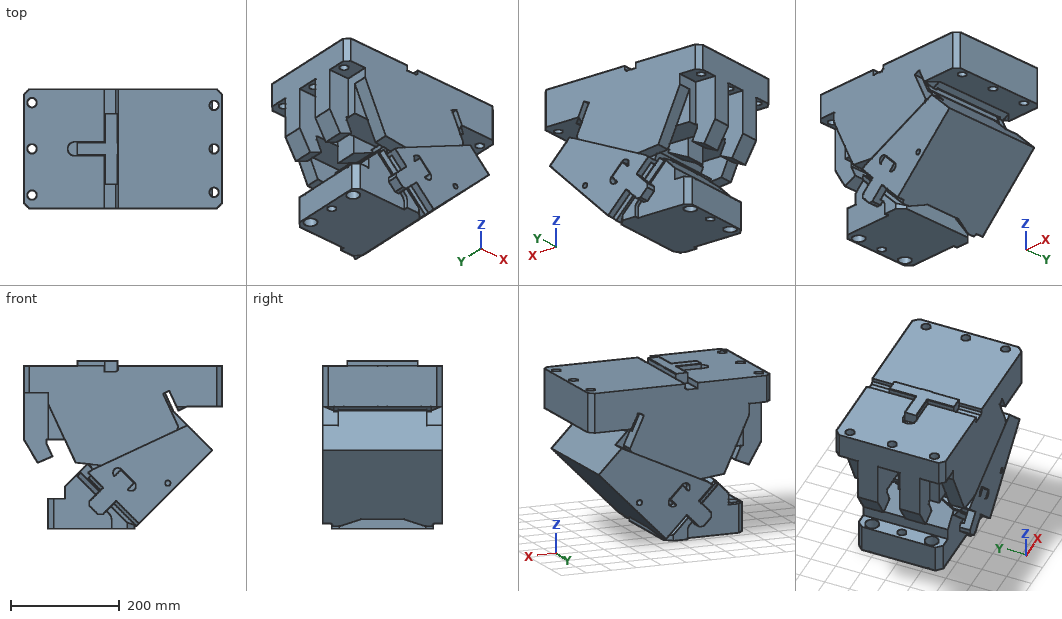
import cadquery as cq
import math

DIAG = math.sqrt(0.5)
UPPER_ANGLE = math.radians(25)
UPPER_X = 126.0
UPPER_Z = 108.8


def base_slide(rise, travel):
    """(x, z) of a point given by its height above and its distance down the 45 degree slide."""
    return (rise + travel) * DIAG, (rise - travel) * DIAG


def upper_slide(along, rise):
    """(x, z) of a point given by its distance up and its height above the 25 degree slide."""
    x = UPPER_X + along * math.cos(UPPER_ANGLE) - rise * math.sin(UPPER_ANGLE)
    z = UPPER_Z + along * math.sin(UPPER_ANGLE) + rise * math.cos(UPPER_ANGLE)
    return x, z


def side_plate(points, y_low, y_high):
    """Extrude an X-Z outline between two Y positions."""
    plane = cq.Workplane("XZ", origin=(0, y_high, 0))
    return plane.polyline(points).close().extrude(y_high - y_low)


def centred_plate(points, half_width):
    return side_plate(points, -half_width, half_width)


def side_pair(points, inner, outer):
    """The same X-Z outline extruded on both sides of the X-Z plane."""
    left = side_plate(points, inner, outer)
    return left.union(side_plate(points, -outer, -inner))


def drill(body, x, y, z_low, z_high, diameter):
    bore = cq.Workplane("XY", origin=(x, y, z_low)).circle(diameter / 2).extrude(z_high - z_low)
    return body.cut(bore)


LENGTH = 365.0
HALF_WIDTH = 110.0

GUIDE_SLOPE = math.tan(math.radians(25))
GUIDE_TOP = 167.5
GUIDE_FLAT = 40.0
RAIL_HALF = 93.5
GUIDE_EDGE = GUIDE_TOP - (RAIL_HALF - GUIDE_FLAT) * GUIDE_SLOPE

TONGUE_HALF = 81.0
STEP_HEIGHT = 17.0
STEP_LENGTH = 29.0
TONGUE_HEIGHT = 35.5


def guide_prism(section, start, length):
    """Extrude a (y, rise) section down the 45 degree slide."""
    x, z = base_slide(0, start)
    plane = cq.Plane(origin=(x, 0, z), xDir=(0, 1, 0), normal=(1, 0, -1))
    return cq.Workplane(plane).polyline(section).close().extrude(length)


def mirrored(section):
    return [(-y, rise) for y, rise in section]


BASE_LEFT = 44.0
BASE_RIGHT = 204.0
BASE_HALF = 85.0
STEP_X = 75.7
STEP_Z = 55.4
NOSE_TRAVEL = -1.5
FRONT_CHAMFER = 11.0
REAR_CHAMFER = 14.0
RIDGE_GROOVE_HALF = 37.0
RIDGE_GROOVE_DEPTH = 2.5
FLARE_START = 1.0
FLARE_BOTTOM = 138.0
FLARE_TOP = 147.0
FLARE_LEDGE = 88.4
RAIL_BOTTOM = 130.5
FOOT_X = 161.4
FOOT_RADIUS = 14.0
BASE_BOLT_X = 59.0
BASE_BOLT_Y = 60.0
BASE_BOLT_D = 26.0
BASE_PIN_D = 17.0

BAR_START = 49.5
BAR_WIDTH = 34.5
BAR_END = BAR_START + BAR_WIDTH
BAR_MIDDLE = (BAR_START + BAR_END) / 2


def base_outline():
    ridge_end_z = GUIDE_TOP / DIAG - BASE_RIGHT
    return [
        (BASE_LEFT, 0),
        (BASE_LEFT, STEP_Z),
        (STEP_X, STEP_Z),
        (STEP_X, STEP_X - NOSE_TRAVEL / DIAG),
        base_slide(GUIDE_TOP, NOSE_TRAVEL),
        (BASE_RIGHT, ridge_end_z),
        (BASE_RIGHT, 0),
    ]


def rear_foot():
    """Wide foot at the rear, its front face rounding into the underside of the rail."""
    bend_z = RAIL_BOTTOM / DIAG - FOOT_X
    mid_angle = math.radians(45) / 2
    tangent = FOOT_RADIUS * math.tan(mid_angle)
    arc_end = (FOOT_X - tangent * DIAG, bend_z + tangent * DIAG)
    centre_x = FOOT_X - FOOT_RADIUS
    centre_z = bend_z - tangent
    arc_middle = (
        centre_x + FOOT_RADIUS * math.cos(mid_angle),
        centre_z + FOOT_RADIUS * math.sin(mid_angle),
    )
    return (
        cq.Workplane("XZ", origin=(0, RAIL_HALF, 0))
        .moveTo(FOOT_X, 0)
        .lineTo(FOOT_X, centre_z)
        .threePointArc(arc_middle, arc_end)
        .lineTo(*base_slide(RAIL_BOTTOM, BAR_MIDDLE))
        .lineTo(*base_slide(GUIDE_TOP, BAR_MIDDLE))
        .lineTo(BASE_RIGHT, GUIDE_TOP / DIAG - BASE_RIGHT)
        .lineTo(BASE_RIGHT, 0)
        .close()
        .extrude(2 * RAIL_HALF)
    )


def make_base():
    body = centred_plate(base_outline(), BASE_HALF)
    body = body.edges("|Z and <X").chamfer(FRONT_CHAMFER)
    body = body.union(rear_foot())

    guide_length = BASE_RIGHT / DIAG
    above_guide = [(GUIDE_FLAT, GUIDE_TOP), (RAIL_HALF, GUIDE_EDGE), (RAIL_HALF, GUIDE_TOP)]
    groove_floor = GUIDE_TOP - RIDGE_GROOVE_DEPTH
    ridge_groove = [
        (-RIDGE_GROOVE_HALF, groove_floor),
        (RIDGE_GROOVE_HALF, groove_floor),
        (RIDGE_GROOVE_HALF, GUIDE_TOP),
        (-RIDGE_GROOVE_HALF, GUIDE_TOP),
    ]
    for section in (above_guide, mirrored(above_guide), ridge_groove):
        body = body.cut(guide_prism(section, NOSE_TRAVEL, guide_length))

    flare = [(0, FLARE_BOTTOM), (FLARE_LEDGE, FLARE_BOTTOM), (RAIL_HALF, FLARE_TOP), (0, FLARE_TOP)]
    for section in (flare, mirrored(flare)):
        body = body.union(guide_prism(section, FLARE_START, BAR_MIDDLE - FLARE_START))

    footprint = (
        cq.Workplane("XY")
        .rect(2 * BASE_RIGHT, 2 * RAIL_HALF)
        .extrude(GUIDE_TOP)
        .edges("|Z and >X")
        .chamfer(REAR_CHAMFER)
    )
    body = body.intersect(footprint)

    for y, diameter in ((-BASE_BOLT_Y, BASE_BOLT_D), (0, BASE_PIN_D), (BASE_BOLT_Y, BASE_BOLT_D)):
        body = drill(body, BASE_BOLT_X, y, 0, STEP_Z, diameter)
    return body


SLIDER_BOTTOM = 150.0
SLIDER_EDGE = 156.5
SLIDER_UNDERCUT = math.radians(30)
SLIDER_END_RISE = 347.5
SLIDER_TRAVEL = 143.0
SLIDER_FRONT = 10.5
RUNNER_START = 18.0
SLIDER_PIN = (265.0, 84.0)
SLIDER_PIN_D = 10.0
SLIDER_PIN_DEPTH = 20.0
BAR_INNER = 95.0
HOOK_INNER = 88.7
BAR_TIP = 115.3
BAR_TOP = 203.0
BAR_GAP = 1.2
BAR_CHAMFER = 6.0
RELIEF_RADIUS = 9.0

COS_SUM = math.cos(UPPER_ANGLE) + math.sin(UPPER_ANGLE)
COS_DIFFERENCE = math.cos(UPPER_ANGLE) - math.sin(UPPER_ANGLE)
SLIDE_LENGTH = (SLIDER_END_RISE / DIAG - UPPER_X - UPPER_Z) / COS_SUM
TONGUE_LENGTH = SLIDE_LENGTH - TONGUE_HEIGHT * COS_DIFFERENCE / COS_SUM


def retainer_bar():
    corner = BAR_TIP + BAR_CHAMFER
    bar = [
        base_slide(SLIDER_EDGE, BAR_START),
        base_slide(corner, BAR_START),
        base_slide(BAR_TIP, BAR_START + BAR_CHAMFER),
        base_slide(BAR_TIP, BAR_END - BAR_CHAMFER),
        base_slide(corner, BAR_END),
        base_slide(SLIDER_EDGE, BAR_END),
    ]
    hook = [base_slide(RAIL_BOTTOM, BAR_START)] + bar[1:5] + [base_slide(RAIL_BOTTOM, BAR_END)]
    return side_pair(bar, BAR_INNER, HALF_WIDTH).union(side_pair(hook, HOOK_INNER, HALF_WIDTH))


def bar_reliefs():
    """Gap above the upper end of the retainer bars, rounded out beside both corners."""
    gap_top = BAR_TOP + BAR_GAP
    gap = [
        base_slide(BAR_TOP, BAR_START),
        base_slide(gap_top, BAR_START),
        base_slide(gap_top, BAR_END),
        base_slide(BAR_TOP, BAR_END),
    ]
    bar = [
        base_slide(SLIDER_BOTTOM, BAR_START),
        base_slide(BAR_TOP, BAR_START),
        base_slide(BAR_TOP, BAR_END),
        base_slide(SLIDER_BOTTOM, BAR_END),
    ]
    reliefs = centred_plate(gap, HALF_WIDTH)
    for travel in (BAR_START, BAR_END):
        x, z = base_slide(gap_top - RELIEF_RADIUS, travel)
        pocket = cq.Workplane("XZ", origin=(0, HALF_WIDTH, 0)).center(x, z).circle(RELIEF_RADIUS)
        reliefs = reliefs.union(pocket.extrude(2 * HALF_WIDTH))
    reliefs = reliefs.cut(centred_plate(bar, HALF_WIDTH))
    core = cq.Workplane("XY").box(2 * LENGTH, 2 * BAR_INNER, 2 * LENGTH)
    return reliefs.cut(core)


def make_slider():
    outline = [
        base_slide(SLIDER_BOTTOM, RUNNER_START),
        base_slide(SLIDER_EDGE, RUNNER_START),
        base_slide(SLIDER_EDGE, SLIDER_FRONT),
        upper_slide(0, 0),
        upper_slide(SLIDE_LENGTH, 0),
        base_slide(SLIDER_END_RISE, SLIDER_TRAVEL),
        base_slide(SLIDER_BOTTOM, SLIDER_TRAVEL),
    ]
    body = centred_plate(outline, HALF_WIDTH)
    tongue = [
        upper_slide(0, 0),
        upper_slide(0, STEP_HEIGHT),
        upper_slide(STEP_LENGTH, STEP_HEIGHT),
        upper_slide(STEP_LENGTH, TONGUE_HEIGHT),
        upper_slide(TONGUE_LENGTH, TONGUE_HEIGHT),
        upper_slide(SLIDE_LENGTH, 0),
    ]
    body = body.union(centred_plate(tongue, TONGUE_HALF))

    guide_half = GUIDE_FLAT + (GUIDE_TOP - SLIDER_BOTTOM) / GUIDE_SLOPE
    groove = [
        (-guide_half, SLIDER_BOTTOM),
        (-GUIDE_FLAT, GUIDE_TOP),
        (GUIDE_FLAT, GUIDE_TOP),
        (guide_half, SLIDER_BOTTOM),
    ]
    margin = [
        (BAR_INNER - (SLIDER_EDGE - SLIDER_BOTTOM) * math.tan(SLIDER_UNDERCUT), SLIDER_BOTTOM),
        (BAR_INNER, SLIDER_EDGE),
        (HALF_WIDTH, SLIDER_EDGE),
        (HALF_WIDTH, SLIDER_BOTTOM),
    ]
    for section in (groove, margin, mirrored(margin)):
        body = body.cut(guide_prism(section, 0, SLIDER_TRAVEL))

    body = body.cut(bar_reliefs()).union(retainer_bar())

    for y_low in (-HALF_WIDTH, HALF_WIDTH - SLIDER_PIN_DEPTH):
        pin = cq.Workplane("XZ", origin=(0, y_low + SLIDER_PIN_DEPTH, 0)).center(*SLIDER_PIN)
        body = body.cut(pin.circle(SLIDER_PIN_D / 2).extrude(SLIDER_PIN_DEPTH))
    return body


TOP_Z = 300.0
FRONT_FLANGE_Z = 250.0
REAR_FLANGE_Z = 225.0
CORNER_CHAMFER = 10.0
WALL_X = 45.0
BLOCK_Z = 164.0
CLAW_INNER = 22.0
CLAW_OUTER = 62.5
CLAW_TIP = (25.4, 121.3)
CLAW_HOOK = (52.8, 133.2)
CLAW_THROAT_X = 41.7
FRONT_ALONG = -22.5
FRONT_BOTTOM_RISE = 24.5
CONTACT_START = 18.7
SLOT_START = 177.0
SLOT_WIDTH = 12.5
SLOT_TOP = 71.6
END_CHAMFER = 5.0
SLOT_WALL = 4.0
LIP_HALF = 90.0
LIP_RISE = 31.5
LIP_LENGTH = 25.0
RIB_RISE = 29.5
BOLT_D = 17.0
FRONT_BOLT_X = 15.0
FRONT_BOLT_Y = 85.0
REAR_BOLT_X = 350.0
REAR_BOLT_Y = 80.0
KEYWAY_LEFT = 148.0
KEYWAY_RIGHT = 173.5
KEYWAY_FLOOR = 289.0
KEYWAY_CHAMFER = 4.0
KEY_TOP = 309.0
KEY_HALF = 65.0
KEY_CLEARANCE = 0.7
KEY_CHAMFER = 1.0
STEM_START = 98.5
STEM_HALF = 12.0
POCKET_HALF = 12.8
POCKET_START = 80.7


def square_face_x(along, z):
    """X at height z of a face that stands square to the upper slide."""
    foot_x, foot_z = upper_slide(along, 0)
    return foot_x - (z - foot_z) * math.tan(UPPER_ANGLE)


def upper_outline():
    slot_end = SLOT_START + SLOT_WIDTH
    front_foot_x, front_foot_z = upper_slide(FRONT_ALONG, 0)
    wall_z = front_foot_z + (front_foot_x - WALL_X) / math.tan(UPPER_ANGLE)
    return [
        (0, TOP_Z),
        (LENGTH, TOP_Z),
        (LENGTH, REAR_FLANGE_Z),
        (square_face_x(slot_end, REAR_FLANGE_Z), REAR_FLANGE_Z),
        upper_slide(slot_end, SLOT_TOP),
        upper_slide(SLOT_START, SLOT_TOP),
        upper_slide(SLOT_START, END_CHAMFER),
        upper_slide(SLOT_START - END_CHAMFER, 0),
        upper_slide(CONTACT_START, 0),
        upper_slide(FRONT_ALONG, FRONT_BOTTOM_RISE),
        (WALL_X, wall_z),
        (WALL_X, FRONT_FLANGE_Z),
        (0, FRONT_FLANGE_Z),
    ]


def claws():
    """Two hooked claws; the inside of each hook stands square to the upper slide."""
    hook_x, hook_z = CLAW_HOOK
    throat_z = hook_z + (hook_x - CLAW_THROAT_X) / math.tan(UPPER_ANGLE)
    outline = [
        (0, FRONT_FLANGE_Z),
        (0, BLOCK_Z),
        CLAW_TIP,
        CLAW_HOOK,
        (CLAW_THROAT_X, throat_z),
        (CLAW_THROAT_X, BLOCK_Z),
        (WALL_X, BLOCK_Z),
        (WALL_X, FRONT_FLANGE_Z),
    ]
    return side_pair(outline, CLAW_INNER, CLAW_OUTER)


def slot_lip():
    """Lip behind the slot, lowest in the middle and sloping up toward both sides."""
    start = SLOT_START + SLOT_WIDTH
    x, z = upper_slide(start, 0)
    plane = cq.Plane(
        origin=(x, 0, z),
        xDir=(0, 1, 0),
        normal=(math.cos(UPPER_ANGLE), 0, math.sin(UPPER_ANGLE)),
    )
    edge = LIP_RISE + (HALF_WIDTH - LIP_HALF) * GUIDE_SLOPE
    section = [
        (-LIP_HALF, LIP_RISE),
        (LIP_HALF, LIP_RISE),
        (HALF_WIDTH, edge),
        (HALF_WIDTH, SLOT_TOP),
        (-HALF_WIDTH, SLOT_TOP),
        (-HALF_WIDTH, edge),
    ]
    return cq.Workplane(plane).polyline(section).close().extrude(LIP_LENGTH)


def slot_wall():
    """Thickening of the front wall of the slot, set in from both sides."""
    wall = [
        upper_slide(SLOT_START, TONGUE_HEIGHT),
        upper_slide(SLOT_START, SLOT_TOP),
        upper_slide(SLOT_START + SLOT_WALL, SLOT_TOP),
        upper_slide(SLOT_START + SLOT_WALL, TONGUE_HEIGHT),
    ]
    return centred_plate(wall, LIP_HALF)


def cut_keyway(body):
    width = KEYWAY_RIGHT - KEYWAY_LEFT
    depth = TOP_Z - KEYWAY_FLOOR
    slot = (
        cq.Workplane("XY", origin=(KEYWAY_LEFT + width / 2, 0, KEYWAY_FLOOR))
        .rect(width, 2 * HALF_WIDTH)
        .extrude(depth)
        .edges(">X and <Z")
        .chamfer(KEYWAY_CHAMFER)
    )
    pocket_centre = POCKET_START + POCKET_HALF
    stem = (
        cq.Workplane("XY", origin=(0, 0, KEYWAY_FLOOR))
        .moveTo(KEYWAY_LEFT, -POCKET_HALF)
        .lineTo(pocket_centre, -POCKET_HALF)
        .threePointArc((POCKET_START, 0), (pocket_centre, POCKET_HALF))
        .lineTo(KEYWAY_LEFT, POCKET_HALF)
        .close()
        .extrude(depth)
    )
    return body.cut(slot).cut(stem)


def tee_key():
    left = KEYWAY_LEFT + KEY_CLEARANCE
    right = KEYWAY_RIGHT - KEY_CLEARANCE
    height = KEY_TOP - KEYWAY_FLOOR
    bar = cq.Workplane("XY", origin=((left + right) / 2, 0, KEYWAY_FLOOR))
    bar = bar.rect(right - left, 2 * KEY_HALF).extrude(height)
    bar = bar.edges("|Y").chamfer(KEY_CHAMFER)
    stem = cq.Workplane("XY", origin=((STEM_START + right) / 2, 0, KEYWAY_FLOOR))
    stem = stem.rect(right - STEM_START, 2 * STEM_HALF).extrude(height)
    stem = stem.edges("|X and >Z").chamfer(KEY_CHAMFER)
    return bar.union(stem)


def make_upper():
    body = centred_plate(upper_outline(), HALF_WIDTH)
    body = body.union(slot_lip()).union(slot_wall())
    block = [
        (WALL_X, FRONT_FLANGE_Z),
        (WALL_X, BLOCK_Z),
        (square_face_x(FRONT_ALONG, BLOCK_Z), BLOCK_Z),
        (square_face_x(FRONT_ALONG, BLOCK_Z), FRONT_FLANGE_Z),
    ]
    body = body.union(centred_plate(block, TONGUE_HALF)).union(claws())

    recess_x = upper_slide(FRONT_ALONG, RIB_RISE)[0]
    recess = [(0, 0), (recess_x, 0), (recess_x, FRONT_FLANGE_Z), (0, FRONT_FLANGE_Z)]
    body = body.cut(centred_plate(recess, CLAW_INNER))

    channel = [
        upper_slide(FRONT_ALONG, -TONGUE_HEIGHT),
        upper_slide(FRONT_ALONG, RIB_RISE),
        upper_slide(STEP_LENGTH, RIB_RISE),
        upper_slide(STEP_LENGTH, TONGUE_HEIGHT),
        upper_slide(SLIDE_LENGTH, TONGUE_HEIGHT),
        upper_slide(SLIDE_LENGTH, -TONGUE_HEIGHT),
    ]
    body = body.cut(centred_plate(channel, TONGUE_HALF))

    roof_along = (BLOCK_Z - UPPER_Z - TONGUE_HEIGHT * math.cos(UPPER_ANGLE)) / math.sin(UPPER_ANGLE)
    cavity = [
        upper_slide(FRONT_ALONG, RIB_RISE),
        (square_face_x(FRONT_ALONG, BLOCK_Z), BLOCK_Z),
        upper_slide(roof_along, TONGUE_HEIGHT),
        upper_slide(STEP_LENGTH, TONGUE_HEIGHT),
        upper_slide(STEP_LENGTH, RIB_RISE),
    ]
    body = body.cut(side_pair(cavity, CLAW_INNER, TONGUE_HALF))

    for x in (0, LENGTH):
        for y in (-HALF_WIDTH, HALF_WIDTH):
            corner = cq.Workplane("XY", origin=(x, y, REAR_FLANGE_Z))
            size = CORNER_CHAMFER
            corner = corner.polyline([(size, 0), (0, size), (-size, 0), (0, -size)]).close()
            body = body.cut(corner.extrude(TOP_Z - REAR_FLANGE_Z))

    for x, spacing in ((FRONT_BOLT_X, FRONT_BOLT_Y), (REAR_BOLT_X, REAR_BOLT_Y)):
        for y in (-spacing, 0, spacing):
            body = drill(body, x, y, REAR_FLANGE_Z, TOP_Z, BOLT_D)
    return cut_keyway(body).union(tee_key())


base = make_base()
slider = make_slider()
upper = make_upper()
result = cq.Compound.makeCompound([base.solids().val(), slider.solids().val(), upper.solids().val()])